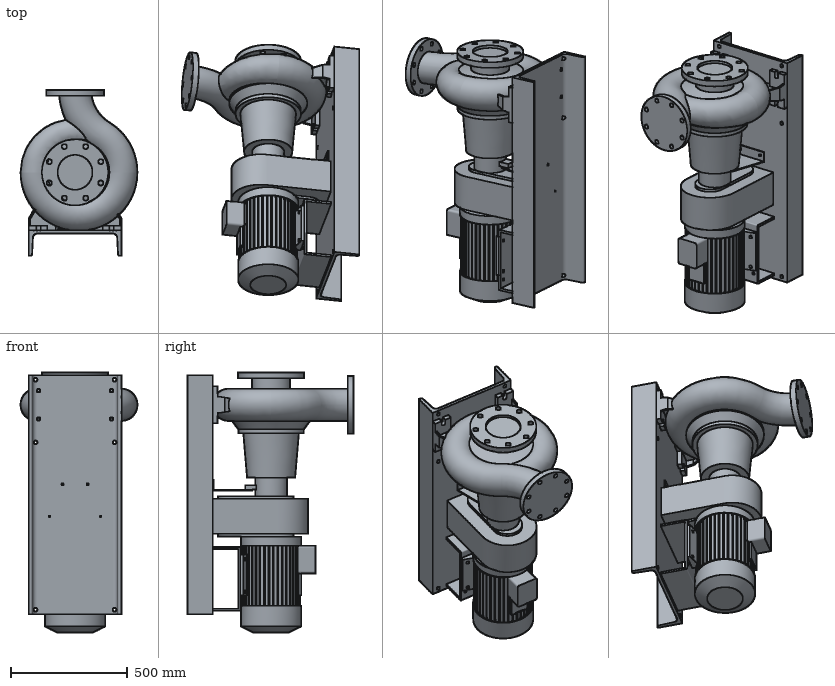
import cadquery as cq
import math

channel_width = 400.0
channel_depth = 110.0
web_thickness = 14.0
flange_mean_thickness = 18.0
flange_slope = 0.05
root_radius = 18.0
toe_radius = 9.0
channel_back_y = -250.0
channel_top_z = 128.0
channel_bottom_z = -902.0

frame_hole_diameter = 15.0
frame_hole_x = 170.0
frame_hole_levels = (108.0, -162.0, -882.0)

tube_radius = 70.0
volute_center_x = 17.0
volute_radius = 182.0
tail_outer_radius = 228.0
tail_end_tube_radius = 55.0
tail_angle = 110.0
hub_radius = 168.0
hub_neck_z = 60.0
hub_rim_z = 45.0

overall_height = 1120.0
suction_face_z = 140.0
suction_flange_diameter = 285.0
suction_bolt_circle = 240.0
suction_bolt_hole = 22.0
suction_neck_radius = 82.5
suction_bore_diameter = 150.0
suction_bore_depth = 12.0

discharge_face_y = 355.0
discharge_flange_diameter = 250.0
discharge_bolt_circle = 210.0
discharge_bolt_hole = 18.0
pipe_flange_thickness = 26.0
flange_bolts = 8

collar_radius = 141.0
collar_top_z = -106.0
collar_bottom_z = -123.0
housing_top_radius = 120.0
housing_bottom_radius = 104.0
housing_bottom_z = -313.0
bearing_radius = 69.0

foot_plate_thickness = 20.0
foot_half_height = 80.0
foot_inner_x = 120.0
foot_slot_width = 18.0
foot_bolt_x = 157.0
foot_bolt_z = 62.0
foot_bolt_hole = 14.0
foot_web_thickness = 12.0
foot_web_inner_x = 82.0
foot_web_top_y = -140.0
foot_rim_thickness = 8.0
foot_rim_knee_y = -199.0
foot_rim_end_x = 165.0
foot_rim_half_height_low = 36.0
foot_rim_half_height_high = 22.0

lug_half_width = 25.0
lug_front_y = -62.5
lug_back_y = -112.0
lug_top_z = -346.0
lug_bottom_z = -365.0

support_thickness = 4.0
support_half_width = 75.0
support_front_half_width = 30.0
support_front_y = -80.0
support_top_z = -322.0
support_hole_x = 54.0
support_hole_z = -342.0
support_hole_diameter = 9.0

guard_radius = 126.0
guard_center_y = 33.0
guard_top_z = -404.0
guard_bottom_z = -556.0
rim_radius = 64.0
rim_far_y = -165.0
rim_height = 11.5
guard_hole_x = 110.0
guard_hole_diameter = 6.0

bearing_bottom_z = guard_top_z + rim_height
motor_top_z = guard_bottom_z - rim_height

motor_radius = 130.0
motor_flange_bottom_z = -607.0
fan_cover_top_z = -865.0
fan_cover_bottom_z = -954.0
motor_end_z = suction_face_z - overall_height
motor_end_radius = 77.0
fin_tip_radius = 126.0
fin_count = 40
groove_width = 5.0
groove_depth = 12.0

terminal_half_width = 50.0
terminal_face_y = 192.0
terminal_top_z = -606.0
terminal_bottom_z = -726.0
terminal_edge_radius = 10.0

shaft_height = 132.0
motor_foot_top_z = -644.0
motor_foot_bottom_z = -820.0
motor_foot_outer_x = 130.0
motor_foot_inner_x = 80.0
motor_foot_root_x = 50.0
motor_foot_thickness = 13.0
motor_foot_shoulder_y = -104.0
motor_pad_half_width = 40.0
motor_foot_hole_x = 108.0
motor_foot_hole_diameter = 12.0
motor_foot_hole_levels = (-665.0, -805.0)
spare_hole_z = -843.0

bracket_half_width = 130.0
bracket_thickness = 10.0
bracket_top_z = -611.0
bracket_bottom_z = -887.0
bracket_bend_radius = 5.0


def box(x0, x1, y0, y1, z0, z1):
    """Axis-aligned block between the given limits."""
    return cq.Workplane("XY").box(x1 - x0, y1 - y0, z1 - z0, centered=False).translate((x0, y0, z0))


def drum(radius, z_low, z_high, center=(0, 0)):
    """Upright cylinder."""
    return cq.Workplane("XY", origin=(center[0], center[1], z_low)).circle(radius).extrude(z_high - z_low)


def holes_along_y(points, diameter, y_low, y_high):
    """Cylinders parallel to Y through the given (x, z) points."""
    plane = cq.Workplane("XZ", origin=(0, y_high, 0))
    return plane.pushPoints(points).circle(diameter / 2).extrude(y_high - y_low)


def mirrored(x, levels):
    """Points at +x and -x on each level."""
    return [(side * x, z) for side in (-1, 1) for z in levels]


def make_frame():
    half = channel_width / 2
    tip_y = channel_back_y - channel_depth
    web_y = channel_back_y - web_thickness
    mid_y = channel_back_y - channel_depth / 2
    toe_x = half - flange_mean_thickness + flange_slope * (mid_y - tip_y)
    root_x = half - flange_mean_thickness - flange_slope * (web_y - mid_y)

    outline = [
        (-half, channel_back_y), (half, channel_back_y), (half, tip_y), (toe_x, tip_y),
        (root_x, web_y), (-root_x, web_y), (-toe_x, tip_y), (-half, tip_y),
    ]
    length = channel_top_z - channel_bottom_z
    frame = cq.Workplane("XY", origin=(0, 0, channel_bottom_z)).polyline(outline).close().extrude(length)
    mid_z = (channel_top_z + channel_bottom_z) / 2
    for side in (-1, 1):
        frame = frame.edges(cq.NearestToPointSelector((side * root_x, web_y, mid_z))).fillet(root_radius)
        frame = frame.edges(cq.NearestToPointSelector((side * toe_x, tip_y, mid_z))).fillet(toe_radius)

    guard_hole_z = (guard_top_z + guard_bottom_z) / 2
    patterns = [
        (mirrored(frame_hole_x, frame_hole_levels), frame_hole_diameter),
        (mirrored(foot_bolt_x, (foot_bolt_z, -foot_bolt_z)), foot_bolt_hole),
        (mirrored(support_hole_x, (support_hole_z,)), support_hole_diameter),
        (mirrored(guard_hole_x, (guard_hole_z,)), guard_hole_diameter),
    ]
    for points, diameter in patterns:
        frame = frame.cut(holes_along_y(points, diameter, tip_y, channel_back_y))
    return frame.union(make_motor_bracket())


def make_motor_bracket():
    w = bracket_half_width
    t = bracket_thickness
    bracket = box(-w, w, channel_back_y, -shaft_height, bracket_bottom_z, bracket_top_z)
    bracket = bracket.edges("|X and >Y").fillet(bracket_bend_radius)
    bracket = bracket.cut(
        box(-w, w, channel_back_y, -shaft_height - t, bracket_bottom_z + t, bracket_top_z - t)
    )
    points = mirrored(motor_foot_hole_x, motor_foot_hole_levels + (spare_hole_z,))
    return bracket.cut(holes_along_y(points, motor_foot_hole_diameter, -shaft_height - t, -shaft_height))


def cross_plane(point, direction):
    """Plane across a pipe run in the Z = 0 plane."""
    return cq.Plane(origin=(point[0], point[1], 0), xDir=(0, 0, 1), normal=(direction[0], direction[1], 0))


def tube(start, middle, end, direction):
    """Round tube along a circular arc in the Z = 0 plane, leaving the start in the given direction."""
    path = cq.Workplane("XY").moveTo(*start).threePointArc(middle, end)
    return cq.Workplane(cross_plane(start, direction)).circle(tube_radius).sweep(path)


def make_tail():
    """Start of the volute: it narrows toward its end, which lies hidden inside the outlet pipe."""
    center_x = volute_center_x - volute_radius - tube_radius + tail_outer_radius

    def tail_point(fraction):
        section_radius = tube_radius + fraction * (tail_end_tube_radius - tube_radius)
        return on_circle(center_x, 0, tail_outer_radius - section_radius, 180 - fraction * tail_angle)

    start = tail_point(0)
    end = tail_point(1)
    path = cq.Workplane("XY").moveTo(*start).threePointArc(tail_point(0.5), end)
    first = cq.Workplane(cross_plane(start, (0, 1))).circle(tube_radius).wires().val()
    end_direction = on_circle(0, 0, 1, 90 - tail_angle)
    last = cq.Workplane(cross_plane(end, end_direction)).circle(tail_end_tube_radius).wires().val()
    return cq.Workplane(cq.Solid.sweep_multi([first, last], path.val()))


def on_circle(center_x, center_y, radius, degrees):
    angle = math.radians(degrees)
    return (center_x + radius * math.cos(angle), center_y + radius * math.sin(angle))


def make_volute():
    bend_radius = (volute_center_x**2 + discharge_face_y**2 - volute_radius**2) / (
        2 * (volute_radius + volute_center_x)
    )
    join_angle = math.degrees(math.asin(discharge_face_y / (bend_radius + volute_radius)))

    def volute_point(degrees):
        return on_circle(volute_center_x, 0, volute_radius, degrees)

    def bend_point(degrees):
        return on_circle(bend_radius, discharge_face_y, bend_radius, degrees)

    half_ring = tube(volute_point(180), volute_point(270), volute_point(360), (0, -1))
    rise = tube(volute_point(0), volute_point(join_angle / 2), volute_point(join_angle), (0, 1))
    outlet = tube(bend_point(180), bend_point(180 + join_angle / 2), bend_point(180 + join_angle), (0, -1))
    return half_ring.union(rise).union(outlet).union(make_tail())


def bolt_points(circle_diameter):
    """Bolt centers straddling the flange center lines."""
    step = 360.0 / flange_bolts
    return [on_circle(0, 0, circle_diameter / 2, (i + 0.5) * step) for i in range(flange_bolts)]


def make_pump_feet():
    plate_y = channel_back_y + foot_plate_thickness
    half = channel_width / 2
    low = foot_rim_half_height_low
    high = foot_rim_half_height_high
    rim_side = [(channel_back_y, low), (plate_y, low), (foot_web_top_y, high)]
    rim_side += [(y, -z) for y, z in reversed(rim_side)]
    rim_envelope = cq.Workplane("YZ", origin=(-half, 0, 0)).polyline(rim_side).close().extrude(half)

    web_outline = [
        (-half, channel_back_y), (-half, foot_rim_knee_y), (-foot_rim_end_x, foot_web_top_y),
        (-foot_web_inner_x, foot_web_top_y), (-foot_web_inner_x, channel_back_y),
    ]
    rim_outline = [(x + foot_rim_thickness, y) for x, y in web_outline[:3]]
    rim_outline = web_outline[:3] + rim_outline[::-1]
    rim = cq.Workplane("XY").polyline(rim_outline).close().extrude(low, both=True)
    rim = rim.intersect(rim_envelope)
    web = cq.Workplane("XY").polyline(web_outline).close().extrude(foot_web_thickness / 2, both=True)

    plate = box(-half, -foot_inner_x, channel_back_y, plate_y, -foot_half_height, foot_half_height)
    for end in (-1, 1):
        slot = holes_along_y([(-foot_bolt_x, end * foot_bolt_z)], foot_slot_width, channel_back_y, plate_y)
        opening = box(
            -foot_bolt_x - foot_slot_width / 2, -foot_bolt_x + foot_slot_width / 2,
            channel_back_y, plate_y,
            min(end * foot_bolt_z, end * foot_half_height), max(end * foot_bolt_z, end * foot_half_height),
        )
        plate = plate.cut(slot).cut(opening)
    foot = plate.union(rim).union(web)
    return foot.union(foot.mirror("YZ"))


def make_pump():
    suction_back_z = suction_face_z - pipe_flange_thickness
    pump = make_volute().union(make_pump_feet())

    body_outline = [
        (0, hub_neck_z), (suction_neck_radius, hub_neck_z),
        (hub_radius, hub_rim_z), (hub_radius, -tube_radius), (collar_radius, collar_top_z),
        (collar_radius, collar_bottom_z), (housing_top_radius, collar_bottom_z),
        (housing_bottom_radius, housing_bottom_z), (bearing_radius, housing_bottom_z),
        (bearing_radius, bearing_bottom_z), (0, bearing_bottom_z),
    ]
    housing = cq.Workplane("YZ").polyline(body_outline).close().revolve(360, (0, 0), (0, 1))
    pump = pump.union(housing)
    pump = pump.union(
        box(-lug_half_width, lug_half_width, lug_back_y, lug_front_y, lug_bottom_z, lug_top_z)
    )

    pump = pump.union(drum(suction_neck_radius, 0, suction_back_z))
    pump = pump.union(drum(suction_flange_diameter / 2, suction_back_z, suction_face_z))
    bolts = cq.Workplane("XY", origin=(0, 0, suction_back_z)).pushPoints(bolt_points(suction_bolt_circle))
    pump = pump.cut(bolts.circle(suction_bolt_hole / 2).extrude(pipe_flange_thickness))
    pump = pump.cut(drum(suction_bore_diameter / 2, suction_face_z - suction_bore_depth, suction_face_z))

    face = cq.Workplane("XZ", origin=(0, discharge_face_y, 0))
    flange = face.circle(discharge_flange_diameter / 2).extrude(pipe_flange_thickness)
    bolts = face.pushPoints(bolt_points(discharge_bolt_circle)).circle(discharge_bolt_hole / 2)
    pump = pump.union(flange).cut(bolts.extrude(pipe_flange_thickness))

    reach = channel_width
    landing = box(-reach, reach, channel_back_y - channel_depth, channel_back_y, -reach, reach)
    return pump.cut(landing)


def make_support():
    w = support_half_width
    t = support_thickness
    front = support_front_half_width
    outline = [(-w, channel_back_y), (w, channel_back_y), (front, support_front_y), (-front, support_front_y)]
    shelf = cq.Workplane("XY", origin=(0, 0, lug_bottom_z - t)).polyline(outline).close().extrude(t)
    upright = box(-w, w, channel_back_y, channel_back_y + t, lug_bottom_z - t, support_top_z)
    points = mirrored(support_hole_x, (support_hole_z,))
    holes = holes_along_y(points, support_hole_diameter, channel_back_y, channel_back_y + t)
    return shelf.union(upright).cut(holes)


def make_guard():
    height = guard_top_z - guard_bottom_z
    guard = drum(guard_radius, guard_bottom_z, guard_top_z, (0, guard_center_y))
    guard = guard.union(
        box(-guard_radius, guard_radius, channel_back_y, guard_center_y, guard_bottom_z, guard_top_z)
    )
    rim_length = guard_center_y - rim_far_y + 2 * rim_radius
    rims = (
        cq.Workplane("XY", origin=(0, (guard_center_y + rim_far_y) / 2, guard_bottom_z - rim_height))
        .slot2D(rim_length, 2 * rim_radius, 90)
        .extrude(height + 2 * rim_height)
    )
    return guard.union(rims)


def make_motor_feet():
    foot_top_y = -shaft_height + motor_foot_thickness
    outline = [
        (-motor_foot_outer_x, -shaft_height), (-motor_foot_outer_x, foot_top_y),
        (-motor_foot_inner_x, motor_foot_shoulder_y), (-motor_foot_root_x, motor_foot_shoulder_y),
        (-motor_foot_root_x, -shaft_height),
    ]
    height = motor_foot_top_z - motor_foot_bottom_z
    foot = cq.Workplane("XY", origin=(0, 0, motor_foot_bottom_z)).polyline(outline).close().extrude(height)
    feet = foot.union(foot.mirror("YZ"))
    points = mirrored(motor_foot_hole_x, motor_foot_hole_levels)
    return feet.cut(holes_along_y(points, motor_foot_hole_diameter, -shaft_height, motor_foot_shoulder_y))


def make_motor():
    outline = [
        (0, motor_top_z), (motor_radius, motor_top_z), (motor_radius, motor_flange_bottom_z),
        (fin_tip_radius, motor_flange_bottom_z), (fin_tip_radius, fan_cover_top_z),
        (motor_radius, fan_cover_top_z), (motor_radius, fan_cover_bottom_z),
        (motor_end_radius, motor_end_z), (0, motor_end_z),
    ]
    motor = cq.Workplane("XZ").polyline(outline).close().revolve(360, (0, 0), (0, 1))
    groove_pitch = 360.0 / fin_count
    grooves = (
        cq.Workplane("XY", origin=(0, 0, fan_cover_top_z))
        .polarArray(fin_tip_radius, groove_pitch / 2, 360, fin_count)
        .rect(2 * groove_depth, groove_width)
        .extrude(motor_flange_bottom_z - fan_cover_top_z)
    )
    motor = motor.cut(grooves)

    terminal = box(
        -terminal_half_width, terminal_half_width, 0, terminal_face_y, terminal_bottom_z, terminal_top_z
    )
    terminal = terminal.edges("|Y").fillet(terminal_edge_radius)
    pad = box(
        -motor_pad_half_width, motor_pad_half_width, 0, motor_radius, motor_foot_bottom_z, motor_foot_top_z
    )
    return motor.union(terminal).union(pad).union(make_motor_feet())


frame = make_frame()
pump = make_pump()
support = make_support()
guard = make_guard()
motor = make_motor()

result = cq.Compound.makeCompound(
    [frame.val(), pump.val(), support.val(), guard.val(), motor.val()]
)